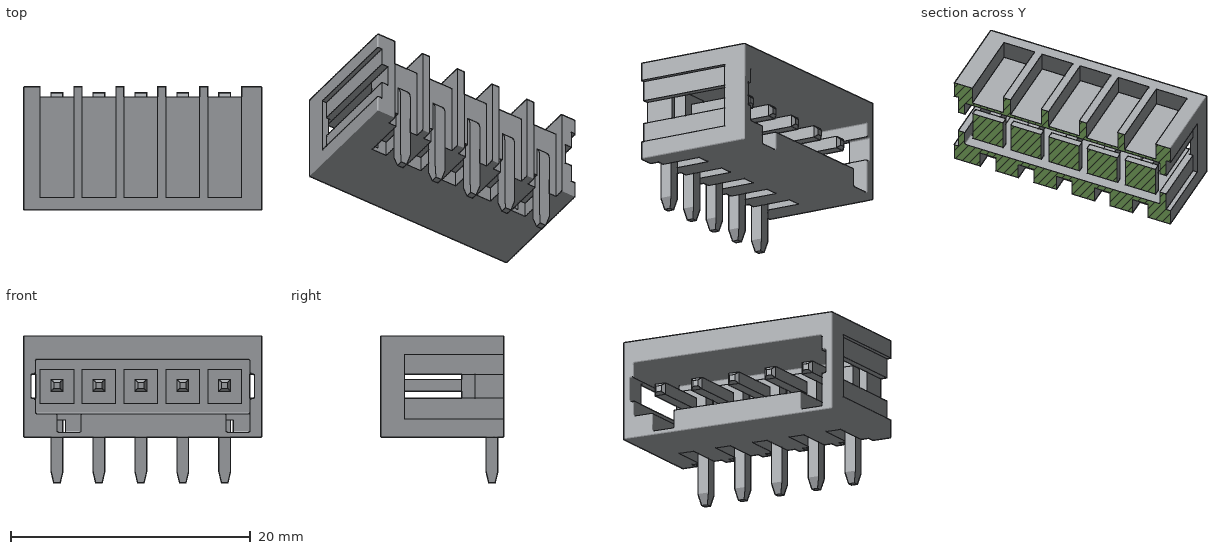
import cadquery as cq

width = 19.9
depth = 10.3
height = 8.48
edge_radius = 0.12

pin_count = 5
pitch = 3.5
pin_size = 1.0
row_offset = -0.16
pin_axis_z = 4.35
pin_front_y = 1.1
leg_rear_gap = 0.5
leg_length = 3.8
leg_taper = 0.95
leg_end_size = 0.55
bend_radius = 1.5
front_taper = 0.25
front_end_size = 0.5

wall = 1.0
rear_wall = 2.43
floor_z = 1.97
ceiling_z = 6.5
boss_length = 1.1
boss_size = 2.8
boss_centre_z = 4.25

keyway_width = 2.0
keyway_z = 0.43
keyway_depth = 6.0
left_keyway_start = 2.8

pocket_width = 2.82
pocket_floor_drop = 1.65
pocket_front = 1.03
rear_notch = 0.85

side_front = 2.0
recess_depth = 0.4
recess_margin = 1.55
window_z = 3.27
window_height = 2.0
front_relief = 0.63

channel_width = 1.4
channel_height = 1.45

half_width = width / 2
cavity_depth = depth - rear_wall
cavity_half_width = half_width - wall
leg_y = depth - leg_rear_gap - pin_size / 2
first_pin_x = row_offset - pitch * (pin_count - 1) / 2
pin_xs = [first_pin_x + i * pitch for i in range(pin_count)]


def block(x0, x1, y0, y1, z0, z1):
    """Box between two corners."""
    return cq.Workplane("XY").box(x1 - x0, y1 - y0, z1 - z0, centered=False).translate((x0, y0, z0))


def centred_block(x, size_x, y0, y1, z0, z1):
    """Box centred on x across its width."""
    return block(x - size_x / 2, x + size_x / 2, y0, y1, z0, z1)


def cavity():
    """Hollow behind the mating face, with rounded inner corners."""
    main = block(-cavity_half_width, cavity_half_width, 0, cavity_depth, floor_z, ceiling_z)
    main = main.edges("|Y or (>Y and |X)").fillet(edge_radius)

    relief_half_width = half_width - front_relief
    relief = block(-relief_half_width, relief_half_width, 0, side_front + edge_radius,
                   window_z, window_z + window_height)
    return main.union(relief.edges("|Y").fillet(edge_radius))


def keyway(x):
    """Polarising groove in the cavity floor, starting at x."""
    groove = block(x, x + keyway_width, 0, keyway_depth, keyway_z, floor_z + edge_radius)
    return groove.edges("(|Y and <Z) or (>Y and (not >Z))").fillet(edge_radius)


def round_keyway_end(body, x):
    """Round the top edge of the wall that closes the keyway starting at x."""
    centre = (x + keyway_width / 2, keyway_depth, floor_z)
    return body.edges(cq.selectors.NearestToPointSelector(centre)).fillet(edge_radius)


def side_cut(side):
    """Shallow recess plus window in one side wall; side is -1 or +1."""
    outer = side * half_width

    def from_face(cut_depth, z0, z1):
        inner = outer - side * cut_depth
        return block(min(outer, inner), max(outer, inner), side_front, depth, z0, z1)

    recess = from_face(recess_depth, recess_margin, height - recess_margin)
    window = from_face(wall, window_z, window_z + window_height)
    return recess.union(window)


def pin_clearance(x):
    """Roof pocket, rear notch and underside channel around one pin."""
    pocket = centred_block(x, pocket_width, pocket_front, depth, height - pocket_floor_drop, height)
    notch = centred_block(x, pocket_width, depth - rear_notch, depth, 0, height)
    channel_front = keyway_depth - edge_radius
    channel = centred_block(x, channel_width, channel_front, depth, 0, channel_height)
    return pocket.union(notch).union(channel)


def boss(x):
    """Square block on the cavity's rear wall around one pin."""
    z0 = boss_centre_z - boss_size / 2
    y0 = cavity_depth - boss_length
    return centred_block(x, boss_size, y0, cavity_depth, z0, z0 + boss_size)


def tapered_end(plane, length, end_size):
    """Frustum running from the full pin section down to a smaller square."""
    base = cq.Workplane(plane).rect(pin_size, pin_size)
    return base.workplane(offset=length).rect(end_size, end_size).loft()


def pin(x):
    """L-shaped pin with a rounded outer bend and both ends tapered."""
    half = pin_size / 2
    taper_start_y = pin_front_y + front_taper
    taper_start_z = leg_taper - leg_length
    contact = centred_block(x, pin_size, taper_start_y, leg_y + half, pin_axis_z - half, pin_axis_z + half)
    leg = centred_block(x, pin_size, leg_y - half, leg_y + half, taper_start_z, pin_axis_z + half)
    elbow = contact.union(leg).edges(">Y and >Z").fillet(bend_radius)
    front_plane = cq.Plane((x, taper_start_y, pin_axis_z), xDir=(1, 0, 0), normal=(0, -1, 0))
    leg_plane = cq.Plane((x, leg_y, taper_start_z), xDir=(1, 0, 0), normal=(0, 0, -1))
    front_end = tapered_end(front_plane, front_taper, front_end_size)
    leg_end = tapered_end(leg_plane, leg_taper, leg_end_size)
    return elbow.union(front_end).union(leg_end)


def housing():
    """Shrouded housing with every opening, before the pins are fitted."""
    body = block(-half_width, half_width, 0, depth, 0, height).edges().fillet(edge_radius)
    body = body.cut(cavity())
    for x in (left_keyway_start - half_width, cavity_half_width - keyway_width):
        body = body.cut(keyway(x))
        body = round_keyway_end(body, x)

    front_face = body.faces("<Y").val()
    body = body.newObject(front_face.innerWires()[0].Edges()).fillet(edge_radius)

    for side in (-1, 1):
        body = body.cut(side_cut(side))
    for x in pin_xs:
        body = body.union(boss(x))
    for x in pin_xs:
        body = body.cut(pin_clearance(x))
    return body


result = housing()
for pin_x in pin_xs:
    result = result.union(pin(pin_x))